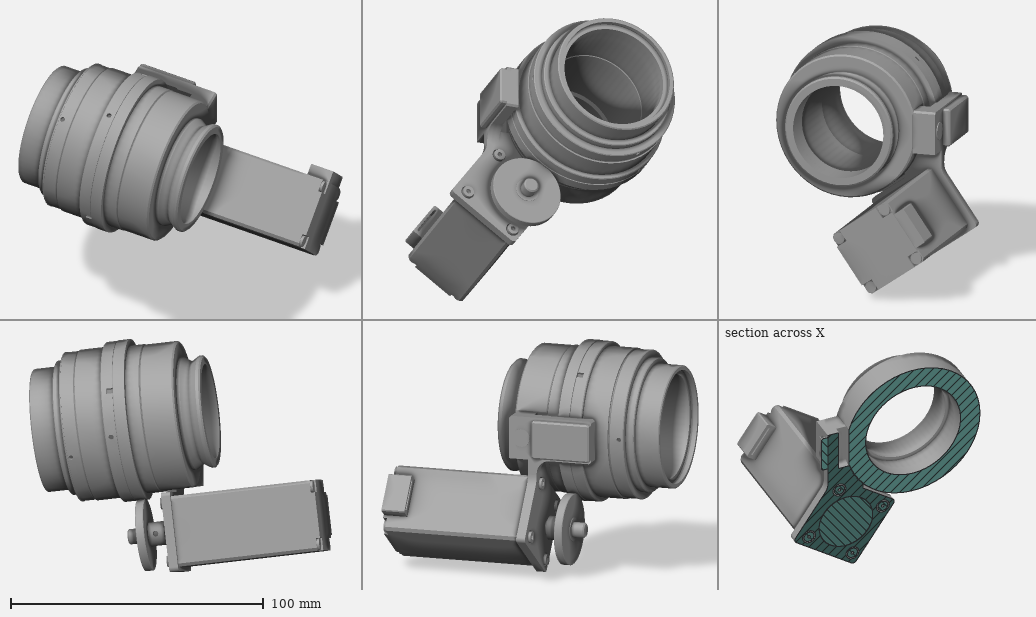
import cadquery as cq
import math


TUBE_RADIUS = 24.5
TUBE_END = 9.8
COLLAR_RADIUS = 26.8
COLLAR_END = 13.1
FRONT_RING_RADIUS = 29.6
FRONT_RING_END = 19.1
FRONT_LIP_RADIUS = 29.8
FRONT_LIP_WIDTH = 0.6
BARREL_RADIUS = 30.1
BARREL_START = 19.6
BARREL_END = 30.2
STOP_RING_RADIUS = 31.9
STOP_RING_END = 34.9
GEAR_RING_RADIUS = 32.06
GEAR_RING_START = 35.3
GEAR_RING_END = 39.8
REAR_BARREL_RADIUS = 29.4
REAR_BARREL_END = 45.5
CLAMP_RADIUS = 29.2
CLAMP_START = 46.0
CLAMP_END = 59.0
MOUNT_RADIUS = 22.4
MOUNT_WAIST_RADIUS = 20.4
MOUNT_FLAT_END = 60.3
MOUNT_WAIST = 63.5
MOUNT_RIM_START = 66.6
LENS_LENGTH = 68.5
TUBE_CHAMFER = 0.4
RING_CHAMFER = 0.3
MOUNT_CHAMFER = 0.6
GROOVE_DEPTH = 0.3

FRONT_LIP_BORE_RADIUS = 22.7
FRONT_LIP_DEPTH = 1.8
FILTER_SEAT_RADIUS = 23.0
FILTER_SEAT_DEPTH = 2.7
BORE_LIP_RADIUS = 20.9
BORE_LIP_END = 3.6
FRONT_BORE_RADIUS = 21.0
FRONT_BORE_END = 26.7
MIDDLE_BORE_RADIUS = 20.5
MIDDLE_BORE_END = 57.3
REAR_BORE_RADIUS = 18.8

CLAMP_SEAT_Y = 27.9

SET_SCREW_HOLE_DIAMETER = 1.8
SET_SCREW_HOLE_X = 15.0
SET_SCREW_HOLE_ANGLES = [0, 120, 240]
STOP_HOLE_DIAMETER = 2.0
STOP_HOLE_X = 32.7
STOP_HOLE_ANGLES = [106.5, 226.5, 346.5]
LENS_HOLE_DEPTH = 1.6
KEYWAY_ANGLES = [47.0, 193.0]
KEYWAY_START = 32.5
KEYWAY_WIDTH = 2.2
KEYWAY_DEPTH = 1.1

MOTOR_Y = 29.2
MOTOR_Z = -35.6
MOTOR_TILT = 35.0
MOTOR_HALF_WIDTH = 14.1
MOTOR_EDGE_CHAMFER = 1.2
MOTOR_REAR = 106.5
CAP_REAR = 108.1
CAP_NOTCH = 5.0
SCREW_PITCH = 23.0
SCREW_HEAD_DIAMETER = 4.5
SCREW_SHANK_DIAMETER = 2.5
SCREW_SOCKET_DIAMETER = 2.2
SCREW_SOCKET_DEPTH = 1.1
SOCKET_CONE_RADIUS = 0.9
SOCKET_CONE_DEPTH = 0.4
SOCKET_CONE_TAPER = 60.0
FRONT_SCREW_PROUD = 1.0
REAR_SCREW_HEIGHT = 1.0
PILOT_RADIUS = 11.8
SHAFT_OFFSET = 6.1
SHAFT_DIAMETER = 6.1
SHAFT_TIP = 30.6
SHAFT_CHAMFER = 0.5
PLUG_START = 98.2
PLUG_END = 107.8
PLUG_WIDTH = 15.9
PLUG_TOP = 18.8
PLUG_EDGE_CHAMFER = 0.4
PLUG_SLOT_WIDTH = 13.0
PLUG_SLOT_HEIGHT = 0.9
PLUG_SLOT_CENTRE = 17.3
PLUG_SLOT_DEPTH = 5.4

PLATE_FRONT = 46.8
PLATE_BACK = 50.5
PLATE_U_MIN = -15.5
PLATE_U_MAX = 17.0
PLATE_HALF_V = 15.8
PLATE_CORNER_RADIUS = 1.6
PLATE_BEND_RADIUS = 7.1
WEB_INNER_Y = 21.6
WEB_BOTTOM_Z = -27.0
COUNTERBORE_DIAMETER = 5.4
COUNTERBORE_DEPTH = 1.6
ARM_START = 24.1
ARM_END = 58.4
ARM_INNER_Y = 32.2
ARM_OUTER_Y = 37.1
ARM_BOTTOM_Z = -9.0
ARM_TOP_Z = 8.3
ARM_CHAMFER = 0.8
ARM_FILLET = 5.5
LEG_START = 49.6
LEG_FILLET = 1.6
PAD_X = 53.2
PAD_DIAMETER = 7.1
PAD_HEIGHT = 0.3
RELIEF_START = 27.1
RELIEF_END = 43.0
RELIEF_DEPTH = 0.5

COVER_END = 48.2
COVER_OUTER_Y = 39.9
COVER_BOTTOM_Z = -8.0
COVER_TOP_Z = 7.4
COVER_CHAMFER = 0.6

GEAR_RADIUS = 14.3
GEAR_START = 35.9
GEAR_END = 39.3
GEAR_CHAMFER = 0.2
HUB_RADIUS = 4.8
HUB_START = 35.7
HUB_END = 45.7
HUB_SCREW_X = 42.3
HUB_SCREW_DIAMETER = 2.2

TILT = math.radians(MOTOR_TILT)
SHAFT_Y = MOTOR_Y - SHAFT_OFFSET * math.cos(TILT)
SHAFT_Z = MOTOR_Z - SHAFT_OFFSET * math.sin(TILT)
SCREW_HEAD_SEAT = PLATE_FRONT + COUNTERBORE_DEPTH


def lens_plane(x):
    """Plane across the lens axis: local x along Y, local y along Z, normal along X."""
    return cq.Workplane(cq.Plane((x, 0, 0), (0, 1, 0), (1, 0, 0)))


def motor_plane(x):
    """Plane across the motor axis; local x (u) points at the plug side, local y (v) at the lens."""
    u_direction = (0, math.cos(TILT), math.sin(TILT))
    return cq.Workplane(cq.Plane((x, MOTOR_Y, MOTOR_Z), u_direction, (1, 0, 0)))


def shaft_cylinder(start, end, radius):
    return motor_plane(start).center(-SHAFT_OFFSET, 0).circle(radius).extrude(end - start)


def lens_cylinder(start, end, radius):
    return lens_plane(start).circle(radius).extrude(end - start)


def screw_pattern(x):
    return motor_plane(x).rect(SCREW_PITCH, SCREW_PITCH, forConstruction=True).vertices()


def lens_profile():
    """Half section of the barrel, as (x, radius) points."""
    c = RING_CHAMFER
    outside = [
        (0, TUBE_RADIUS - TUBE_CHAMFER), (TUBE_CHAMFER, TUBE_RADIUS), (TUBE_END, TUBE_RADIUS),
        (TUBE_END, COLLAR_RADIUS - c), (TUBE_END + c, COLLAR_RADIUS), (COLLAR_END, COLLAR_RADIUS),
        (COLLAR_END, FRONT_LIP_RADIUS - c), (COLLAR_END + c, FRONT_LIP_RADIUS),
        (COLLAR_END + FRONT_LIP_WIDTH, FRONT_LIP_RADIUS),
        (COLLAR_END + FRONT_LIP_WIDTH, FRONT_RING_RADIUS),
        (FRONT_RING_END - c, FRONT_RING_RADIUS), (FRONT_RING_END, FRONT_RING_RADIUS - GROOVE_DEPTH),
        (BARREL_START, FRONT_RING_RADIUS - GROOVE_DEPTH), (BARREL_START, BARREL_RADIUS),
        (BARREL_END, BARREL_RADIUS), (BARREL_END, STOP_RING_RADIUS - c),
        (BARREL_END + c, STOP_RING_RADIUS), (STOP_RING_END, STOP_RING_RADIUS),
        (STOP_RING_END, STOP_RING_RADIUS - GROOVE_DEPTH),
        (GEAR_RING_START, STOP_RING_RADIUS - GROOVE_DEPTH), (GEAR_RING_START, GEAR_RING_RADIUS),
        (GEAR_RING_END, GEAR_RING_RADIUS), (GEAR_RING_END, REAR_BARREL_RADIUS),
        (REAR_BARREL_END - c, REAR_BARREL_RADIUS), (REAR_BARREL_END, CLAMP_RADIUS - c),
        (CLAMP_START - c, CLAMP_RADIUS - c), (CLAMP_START, CLAMP_RADIUS),
        (CLAMP_END - MOUNT_CHAMFER, CLAMP_RADIUS), (CLAMP_END, CLAMP_RADIUS - MOUNT_CHAMFER),
        (CLAMP_END, MOUNT_RADIUS), (MOUNT_FLAT_END, MOUNT_RADIUS),
        (MOUNT_WAIST, MOUNT_WAIST_RADIUS), (MOUNT_RIM_START, MOUNT_RADIUS),
        (LENS_LENGTH - MOUNT_CHAMFER, MOUNT_RADIUS), (LENS_LENGTH, MOUNT_RADIUS - MOUNT_CHAMFER),
    ]
    bore = [
        (LENS_LENGTH, REAR_BORE_RADIUS), (MIDDLE_BORE_END, REAR_BORE_RADIUS),
        (MIDDLE_BORE_END, MIDDLE_BORE_RADIUS), (FRONT_BORE_END, MIDDLE_BORE_RADIUS),
        (FRONT_BORE_END, FRONT_BORE_RADIUS),
        (BORE_LIP_END, FRONT_BORE_RADIUS),
        (BORE_LIP_END, BORE_LIP_RADIUS), (FILTER_SEAT_DEPTH, BORE_LIP_RADIUS),
        (FILTER_SEAT_DEPTH, FILTER_SEAT_RADIUS), (FRONT_LIP_DEPTH, FILTER_SEAT_RADIUS),
        (FRONT_LIP_DEPTH, FRONT_LIP_BORE_RADIUS), (0, FRONT_LIP_BORE_RADIUS),
    ]
    return outside + bore


def radial_hole(x, angle, diameter, outer_radius):
    """Blind hole drilled towards the lens axis; the angle runs from +Y towards +Z."""
    floor = outer_radius - LENS_HOLE_DEPTH
    drill = cq.Workplane("XZ", origin=(x, floor, 0)).circle(diameter / 2).extrude(-2 * LENS_HOLE_DEPTH)
    return drill.rotate((0, 0, 0), (1, 0, 0), angle)


def keyway(angle):
    """Pocket in the stop ring that runs up to the gear ring."""
    length = GEAR_RING_START - KEYWAY_START
    floor = STOP_RING_RADIUS - KEYWAY_DEPTH
    pocket = cq.Workplane("XY").box(length, 2 * KEYWAY_DEPTH, KEYWAY_WIDTH, centered=(False, False, True))
    return pocket.translate((KEYWAY_START, floor, 0)).rotate((0, 0, 0), (1, 0, 0), angle)


def clamp_seat():
    """Block that leaves a flat for the bracket leg on the +Y side of the clamp ring."""
    height = CLAMP_RADIUS - CLAMP_SEAT_Y
    block = cq.Workplane("XY").box(
        CLAMP_END - REAR_BARREL_END, height, 2 * CLAMP_RADIUS, centered=(False, False, True)
    )
    return block.translate((REAR_BARREL_END, CLAMP_SEAT_Y, 0))


def make_lens():
    lens = cq.Workplane("XY").polyline(lens_profile()).close().revolve(360, (0, 0, 0), (1, 0, 0))
    lens = lens.cut(clamp_seat())
    for angle in SET_SCREW_HOLE_ANGLES:
        lens = lens.cut(radial_hole(SET_SCREW_HOLE_X, angle, SET_SCREW_HOLE_DIAMETER, FRONT_RING_RADIUS))
    for angle in STOP_HOLE_ANGLES:
        lens = lens.cut(radial_hole(STOP_HOLE_X, angle, STOP_HOLE_DIAMETER, STOP_RING_RADIUS))
    for angle in KEYWAY_ANGLES:
        lens = lens.cut(keyway(angle))
    return lens


def motor_case():
    """Square case with chamfered long edges and a rear cap notched at its corners."""
    width = 2 * MOTOR_HALF_WIDTH
    case = motor_plane(PLATE_BACK).rect(width, width).extrude(CAP_REAR - PLATE_BACK)
    case = case.edges("|X").chamfer(MOTOR_EDGE_CHAMFER)
    notches = (
        motor_plane(MOTOR_REAR)
        .rect(width, width, forConstruction=True)
        .vertices()
        .rect(2 * CAP_NOTCH, 2 * CAP_NOTCH)
        .extrude(CAP_REAR - MOTOR_REAR)
    )
    return case.cut(notches)


def motor_plug():
    """Connector housing on the plug side, with a slot open towards the front."""
    height = PLUG_TOP - MOTOR_HALF_WIDTH
    plug = (
        motor_plane(PLUG_START)
        .center(MOTOR_HALF_WIDTH + height / 2, 0)
        .rect(height, PLUG_WIDTH)
        .extrude(PLUG_END - PLUG_START)
    )
    to_space = motor_plane(PLUG_START).plane.toWorldCoords
    for side in (-1, 1):
        corner = to_space((PLUG_TOP, side * PLUG_WIDTH / 2, (PLUG_END - PLUG_START) / 2))
        edge = cq.selectors.NearestToPointSelector(corner.toTuple())
        plug = plug.edges("|X").edges(edge).chamfer(PLUG_EDGE_CHAMFER)
    slot = (
        motor_plane(PLUG_START)
        .center(PLUG_SLOT_CENTRE, 0)
        .rect(PLUG_SLOT_HEIGHT, PLUG_SLOT_WIDTH)
        .extrude(PLUG_SLOT_DEPTH)
    )
    return plug.cut(slot)


def motor_screws():
    """Front socket screws through the plate, and rear screw heads in the cap notches."""
    head_front = PLATE_FRONT - FRONT_SCREW_PROUD
    heads = screw_pattern(head_front).circle(SCREW_HEAD_DIAMETER / 2).extrude(SCREW_HEAD_SEAT - head_front)
    sockets = screw_pattern(head_front).polygon(6, SCREW_SOCKET_DIAMETER).extrude(SCREW_SOCKET_DEPTH)
    socket_floor = head_front + SCREW_SOCKET_DEPTH
    cones = (
        screw_pattern(socket_floor)
        .circle(SOCKET_CONE_RADIUS)
        .extrude(SOCKET_CONE_DEPTH, taper=SOCKET_CONE_TAPER)
    )
    shanks = (
        screw_pattern(SCREW_HEAD_SEAT)
        .circle(SCREW_SHANK_DIAMETER / 2)
        .extrude(PLATE_BACK - SCREW_HEAD_SEAT)
    )
    rear_heads = screw_pattern(MOTOR_REAR).circle(SCREW_HEAD_DIAMETER / 2).extrude(REAR_SCREW_HEIGHT)
    return heads.cut(sockets).cut(cones).union(shanks).union(rear_heads)


def make_motor():
    pilot = motor_plane(PLATE_FRONT).circle(PILOT_RADIUS).extrude(PLATE_BACK - PLATE_FRONT)
    shaft = shaft_cylinder(SHAFT_TIP, PLATE_FRONT, SHAFT_DIAMETER / 2).faces("<X").chamfer(SHAFT_CHAMFER)
    return motor_case().union(motor_plug()).union(pilot).union(shaft).union(motor_screws())


def bracket_plate():
    """Motor flange with a web that rises beside the lens to the arm."""
    thickness = PLATE_BACK - PLATE_FRONT
    flange = (
        motor_plane(PLATE_FRONT)
        .center((PLATE_U_MIN + PLATE_U_MAX) / 2, 0)
        .rect(PLATE_U_MAX - PLATE_U_MIN, 2 * PLATE_HALF_V)
        .extrude(thickness)
        .edges("|X")
        .fillet(PLATE_CORNER_RADIUS)
    )
    web = cq.Workplane("XY").box(
        thickness, ARM_OUTER_Y - WEB_INNER_Y, ARM_BOTTOM_Z - WEB_BOTTOM_Z, centered=False
    )
    plate = flange.union(web.translate((PLATE_FRONT, WEB_INNER_Y, WEB_BOTTOM_Z)))

    rise = PLATE_U_MAX - (ARM_OUTER_Y - MOTOR_Y) * math.cos(TILT)
    bend_z = MOTOR_Z + rise / math.sin(TILT)
    bend = cq.selectors.NearestToPointSelector(((PLATE_FRONT + PLATE_BACK) / 2, ARM_OUTER_Y, bend_z))
    plate = plate.edges("|X").edges(bend).fillet(PLATE_BEND_RADIUS)

    plate = plate.cut(motor_plane(PLATE_FRONT).circle(PILOT_RADIUS).extrude(thickness))
    plate = plate.cut(screw_pattern(PLATE_FRONT).circle(SCREW_SHANK_DIAMETER / 2).extrude(thickness))
    return plate.cut(screw_pattern(PLATE_FRONT).circle(COUNTERBORE_DIAMETER / 2).extrude(COUNTERBORE_DEPTH))


def bracket_arm():
    """Flat arm along the lens, filleted into the plate, relieved over the rings, with a round pad outside."""
    c = ARM_CHAMFER
    bow = ARM_FILLET * (1 - math.sqrt(0.5))
    arm = (
        cq.Workplane("XZ", origin=(0, ARM_INNER_Y, 0))
        .moveTo(ARM_START, ARM_BOTTOM_Z + c)
        .lineTo(ARM_START + c, ARM_BOTTOM_Z)
        .lineTo(PLATE_FRONT - ARM_FILLET, ARM_BOTTOM_Z)
        .threePointArc(
            (PLATE_FRONT - bow, ARM_BOTTOM_Z - bow),
            (PLATE_FRONT, ARM_BOTTOM_Z - ARM_FILLET),
        )
        .lineTo(PLATE_BACK, ARM_BOTTOM_Z - ARM_FILLET)
        .lineTo(PLATE_BACK, ARM_BOTTOM_Z)
        .lineTo(ARM_END, ARM_BOTTOM_Z)
        .lineTo(ARM_END, ARM_TOP_Z - c)
        .lineTo(ARM_END - c, ARM_TOP_Z)
        .lineTo(ARM_START + c, ARM_TOP_Z)
        .lineTo(ARM_START, ARM_TOP_Z - c)
        .close()
        .extrude(ARM_INNER_Y - ARM_OUTER_Y)
    )
    relief = cq.Workplane("XY").box(
        RELIEF_END - RELIEF_START, RELIEF_DEPTH, ARM_TOP_Z - ARM_BOTTOM_Z, centered=False
    )
    arm = arm.cut(relief.translate((RELIEF_START, ARM_INNER_Y, ARM_BOTTOM_Z)))
    pad = (
        cq.Workplane("XZ", origin=(PAD_X, ARM_OUTER_Y, (ARM_BOTTOM_Z + ARM_TOP_Z) / 2))
        .circle(PAD_DIAMETER / 2)
        .extrude(-PAD_HEIGHT)
    )
    return arm.union(pad)


def bracket_leg():
    """Block under the arm that stands on the lens."""
    bow = LEG_FILLET * (1 - math.sqrt(0.5))
    return (
        cq.Workplane("XZ", origin=(0, WEB_INNER_Y, 0))
        .moveTo(LEG_START - LEG_FILLET, ARM_BOTTOM_Z)
        .threePointArc(
            (LEG_START - bow, ARM_BOTTOM_Z + bow),
            (LEG_START, ARM_BOTTOM_Z + LEG_FILLET),
        )
        .lineTo(LEG_START, ARM_TOP_Z)
        .lineTo(ARM_END - ARM_CHAMFER, ARM_TOP_Z)
        .lineTo(ARM_END, ARM_TOP_Z - ARM_CHAMFER)
        .lineTo(ARM_END, ARM_BOTTOM_Z)
        .close()
        .extrude(WEB_INNER_Y - ARM_INNER_Y)
    )


def make_bracket():
    bracket = bracket_plate().union(bracket_arm()).union(bracket_leg())
    clamp_ring = lens_cylinder(CLAMP_START, CLAMP_END, CLAMP_RADIUS).cut(clamp_seat())
    return bracket.cut(clamp_ring)


def make_cover():
    cover = cq.Workplane("XY").box(
        COVER_END - ARM_START, COVER_OUTER_Y - ARM_OUTER_Y, COVER_TOP_Z - COVER_BOTTOM_Z, centered=False
    )
    cover = cover.edges("|Y").chamfer(COVER_CHAMFER).faces(">Y").chamfer(COVER_CHAMFER)
    return cover.translate((ARM_START, ARM_OUTER_Y, COVER_BOTTOM_Z))


def make_pinion():
    """Plain gear disc on a hub, trimmed where it meshes with the gear ring of the lens."""
    pinion = shaft_cylinder(GEAR_START, GEAR_END, GEAR_RADIUS).edges("%CIRCLE").chamfer(GEAR_CHAMFER)
    pinion = pinion.cut(lens_cylinder(GEAR_START, GEAR_END, GEAR_RING_RADIUS))
    pinion = pinion.union(shaft_cylinder(HUB_START, HUB_END, HUB_RADIUS))
    pinion = pinion.cut(shaft_cylinder(HUB_START, HUB_END, SHAFT_DIAMETER / 2))
    outward = (0, -math.cos(TILT), -math.sin(TILT))
    hub_screw = cq.Plane((HUB_SCREW_X, SHAFT_Y, SHAFT_Z), (1, 0, 0), outward)
    return pinion.cut(cq.Workplane(hub_screw).circle(HUB_SCREW_DIAMETER / 2).extrude(2 * HUB_RADIUS))


lens = make_lens()
motor = make_motor()
bracket = make_bracket()
cover = make_cover()
pinion = make_pinion()

bodies = [lens, motor, bracket, cover, pinion]
result = cq.Compound.makeCompound([body.solids().val() for body in bodies])